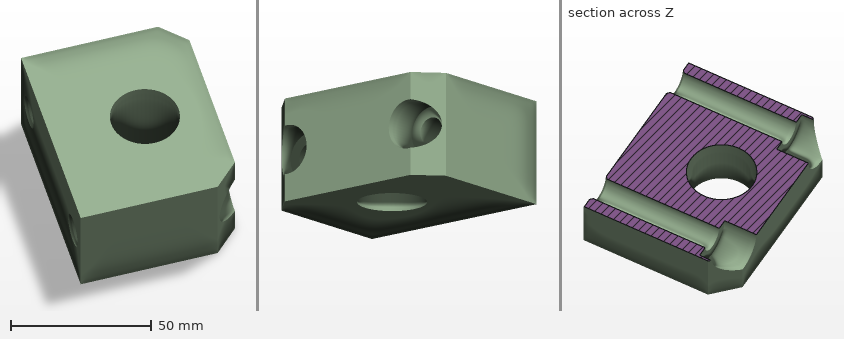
import cadquery as cq

width = 76.0
depth = 60.0
height = 38.0
corner_cut = 9.05

bore_diameter = 25.0
bore_from_back = 25.0

bolt_offset = 28.0
bolt_diameter = 10.0
mouth_diameter = 12.0
mouth_depth = (mouth_diameter - bolt_diameter) / 2
head_diameter = 18.0
head_depth = 13.0


def make_block():
    block = cq.Workplane("XY").box(width, depth, height, centered=(True, False, True))
    return block.edges("|Z and >Y").chamfer(corner_cut)


def make_bore():
    bore = cq.Workplane("XY").circle(bore_diameter / 2).extrude(height / 2, both=True)
    return bore.translate((0, depth - bore_from_back, 0))


def make_bolt_hole(x):
    """Half section revolved about the hole axis: countersunk mouth, shank, head recess."""
    profile = (
        cq.Workplane("XY")
        .lineTo(mouth_diameter / 2, 0)
        .lineTo(bolt_diameter / 2, mouth_depth)
        .lineTo(bolt_diameter / 2, depth - head_depth)
        .lineTo(head_diameter / 2, depth - head_depth)
        .lineTo(head_diameter / 2, depth)
        .lineTo(0, depth)
        .close()
    )
    return profile.revolve(360, (0, 0, 0), (0, 1, 0)).translate((x, 0, 0))


result = make_block().cut(make_bore())
for x in (-bolt_offset, bolt_offset):
    result = result.cut(make_bolt_hole(x))